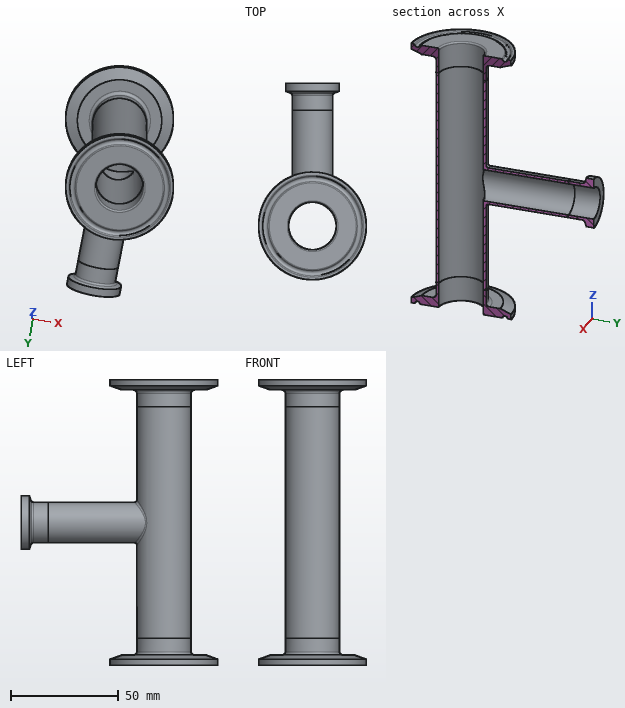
import cadquery as cq
import math

tube_wall = 1.65
run_outer_radius = 25.4 / 2
run_bore_radius = run_outer_radius - tube_wall
branch_outer_radius = 19.05 / 2
branch_bore_radius = branch_outer_radius - tube_wall

overall_height = 133.4
branch_reach = 66.68
ferrule_length = 12.7
run_length = overall_height - 2 * ferrule_length
branch_tube_end = branch_reach - ferrule_length
tee_fillet = 1.0

clamp_slope = math.tan(math.radians(20))

large_flange_radius = 50.4 / 2
large_rim_thickness = 2.85
large_back_radius = 19.7
large_neck_fillet = 1.6
bore_mouth_round = 0.8

groove_centre_radius = 44.0 / 2
groove_arc_radius = 1.25
groove_lip_round = 0.6

small_flange_radius = 25.2 / 2
small_rim_thickness = 3.8
small_neck_fillet = 1.1


def make_tee():
    """Run tube with a side branch, filleted where they meet and bored through."""
    run = cq.Workplane("XY").circle(run_outer_radius).extrude(run_length / 2, both=True)
    branch = cq.Workplane("XZ").circle(branch_outer_radius).extrude(-branch_tube_end)
    joint_reach = run_outer_radius + tee_fillet
    joint_edges = cq.selectors.BoxSelector(
        (-joint_reach, 0, -joint_reach), (joint_reach, joint_reach, joint_reach), boundingbox=True
    )
    body = run.union(branch).edges(joint_edges).fillet(tee_fillet)
    run_bore = cq.Workplane("XY").circle(run_bore_radius).extrude(run_length / 2, both=True)
    branch_bore = cq.Workplane("XZ").circle(branch_bore_radius).extrude(-branch_tube_end)
    return body.cut(run_bore).cut(branch_bore)


def revolve_about_z(profile):
    return profile.revolve(360, (0, 0, 0), (0, 1, 0))


def make_large_ferrule():
    """Large ferrule with its sealing face at Z = 0 and its neck pointing up."""
    back_height = large_rim_thickness + (large_flange_radius - large_back_radius) * clamp_slope
    blank = revolve_about_z(
        cq.Workplane("XZ")
        .moveTo(run_bore_radius, 0)
        .lineTo(large_flange_radius, 0)
        .lineTo(large_flange_radius, large_rim_thickness)
        .lineTo(large_back_radius, back_height)
        .lineTo(run_outer_radius + large_neck_fillet, back_height)
        .radiusArc((run_outer_radius, back_height + large_neck_fillet), large_neck_fillet)
        .lineTo(run_outer_radius, ferrule_length)
        .lineTo(run_bore_radius, ferrule_length)
        .close()
    )
    groove_ring = cq.Solid.makeTorus(groove_centre_radius, groove_arc_radius)
    ferrule = blank.cut(cq.Workplane(groove_ring))

    ferrule = ferrule.faces("<Z").edges(cq.selectors.RadiusNthSelector(0)).fillet(bore_mouth_round)
    groove_inside = cq.selectors.RadiusNthSelector(1)
    groove_outside = cq.selectors.RadiusNthSelector(2)
    return ferrule.faces("<Z").edges(groove_inside + groove_outside).fillet(groove_lip_round)


def make_small_ferrule():
    """Small ferrule with its sealing face at Z = 0 and its neck pointing up."""
    cone_foot = small_rim_thickness + (small_flange_radius - branch_outer_radius) * clamp_slope
    blank = revolve_about_z(
        cq.Workplane("XZ")
        .moveTo(branch_bore_radius, 0)
        .lineTo(small_flange_radius, 0)
        .lineTo(small_flange_radius, small_rim_thickness)
        .lineTo(branch_outer_radius, cone_foot)
        .lineTo(branch_outer_radius, ferrule_length)
        .lineTo(branch_bore_radius, ferrule_length)
        .close()
    )
    cone_foot_edge = cq.selectors.NearestToPointSelector((0, 0, cone_foot))
    return blank.edges("%CIRCLE").edges(cone_foot_edge).fillet(small_neck_fillet)


tee = make_tee()

large_ferrules = []
for flip_angle in (0, 180):
    seated = make_large_ferrule().translate((0, 0, -overall_height / 2))
    large_ferrules.append(seated.rotate((0, 0, 0), (1, 0, 0), flip_angle))

small_ferrule = make_small_ferrule().rotate((0, 0, 0), (1, 0, 0), 90).translate((0, branch_reach, 0))

result = cq.Compound.makeCompound(
    [tee.val(), *[ferrule.val() for ferrule in large_ferrules], small_ferrule.val()]
)